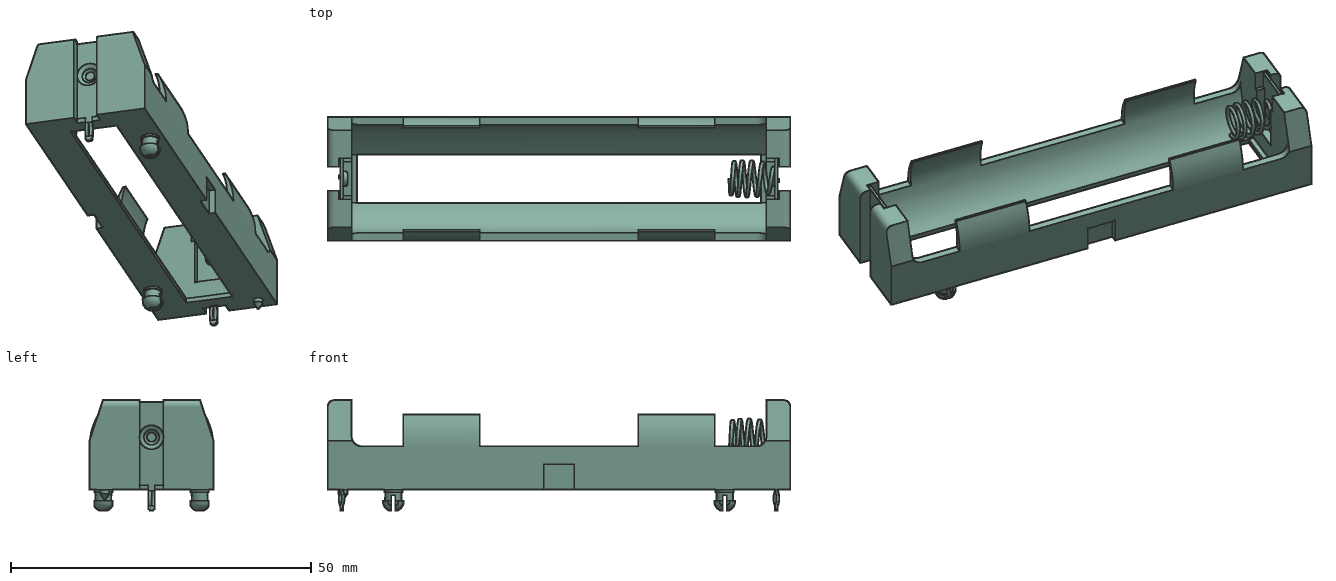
import cadquery as cq
import math

length = 77.05
width = 20.65
post_height = 14.95
rail_height = 7.25
half_length = length / 2
half_width = width / 2

post_thickness = 4.0
shoulder_height = 8.2
post_top_half_width = 8.1
post_edge_radius = 1.15
rail_fillet_radius = 1.7

trough_radius = 9.2
trough_axis_height = 9.0
floor_thickness = 0.8
opening_half_width = 4.0
opening_end_inset = 4.9

clip_length = 12.8
clip_end_inset = 12.55
clip_top = 12.55

notch_width = 5.0
notch_height = 4.2
notch_depth = 1.1

channel_width = 3.9
seat_back_inset = 1.85
seat_width = 6.8
window_width = 5.6
window_sill_height = 4.1
window_step_height = 11.7

peg_inset = 10.95
peg_offset = 8.0
peg_flange_diameter = 3.1
peg_flange_thickness = 0.4
peg_shaft_diameter = 2.8
peg_head_radius = 1.8
peg_head_flats = 3.1
peg_head_top = 1.85
peg_length = 3.5
peg_slit_width = 0.6
peg_slit_top = 0.9

key_diameter = 1.55
key_straight = 0.7
key_length = 1.8
key_inset = 2.55
key_offset = 7.8

sheet = 0.5
contact_back_inset = 2.1
contact_top = 14.65
contact_front_inset = contact_back_inset + sheet
terminal_width = 1.15
terminal_length = peg_length
terminal_tip_chamfer = 0.3
terminal_bow = 0.27
bow_start_depth = 0.15
bow_end_depth = 2.7
contact_axis_height = 8.745

dimple_mouth_radius = 2.0
dimple_throat_radius = 1.425
dimple_throat_depth = 0.2
dimple_tip_radius = 0.8
dimple_outer_radius = 1.27
dimple_depth = 0.8

wire_diameter = 0.6
spring_free_inset = 10.3
spring_turns = 4.75
spring_radius = 2.85
free_end_taper = 0.5
fixed_end_taper = 1.1
taper_power = 6
wire_embed = 0.19
pitch_power = 1.3
points_per_turn = 12


def block(x_range, y_range, z_range):
    """Axis-aligned box between the given limits."""
    (x0, x1), (y0, y1), (z0, z1) = x_range, y_range, z_range
    return cq.Workplane("XY").box(x1 - x0, y1 - y0, z1 - z0, centered=False).translate((x0, y0, z0))


def turned(workplane):
    """The same shape at the opposite end, half a turn about Z."""
    return workplane.rotate((0, 0, 0), (0, 0, 1), 180)


def holder_shell():
    """Rails and end posts, cut to the side outline and to the sloping end outline."""
    post_face = half_length - post_thickness
    fillet_end = post_face - rail_fillet_radius
    fillet_axis = rail_height + rail_fillet_radius
    bend = rail_fillet_radius * math.sqrt(0.5)
    side = (
        cq.Workplane("XZ", origin=(0, half_width, 0))
        .moveTo(-half_length, 0)
        .lineTo(half_length, 0)
        .lineTo(half_length, post_height)
        .lineTo(post_face, post_height)
        .lineTo(post_face, fillet_axis)
        .threePointArc((fillet_end + bend, fillet_axis - bend), (fillet_end, rail_height))
        .lineTo(-fillet_end, rail_height)
        .threePointArc((-fillet_end - bend, fillet_axis - bend), (-post_face, fillet_axis))
        .lineTo(-post_face, post_height)
        .lineTo(-half_length, post_height)
        .close()
        .extrude(width)
        .edges("|Y and >Z")
        .edges("<X or >X")
        .fillet(post_edge_radius)
    )
    end = (
        cq.Workplane("YZ", origin=(-half_length, 0, 0))
        .polyline([
            (-half_width, 0),
            (half_width, 0),
            (half_width, shoulder_height),
            (post_top_half_width, post_height),
            (-post_top_half_width, post_height),
            (-half_width, shoulder_height),
        ])
        .close()
        .extrude(length)
    )
    return side.intersect(end)


def clip_pair(x_start):
    """Curved outer form of two facing clips; the trough cut shapes their inner faces."""
    band = block(
        (x_start, x_start + clip_length), (-half_width, half_width), (rail_height, clip_top)
    )
    curve = (
        cq.Workplane("YZ", origin=(x_start, 0, rail_height)).circle(half_width).extrude(clip_length)
    )
    return band.intersect(curve)


def trough():
    """Cylindrical cell space between the posts, ending at the floor."""
    trough_length = length - 2 * post_thickness
    space = (
        cq.Workplane("YZ", origin=(-trough_length / 2, 0, trough_axis_height))
        .circle(trough_radius)
        .extrude(trough_length)
    )
    above_floor = block(
        (-half_length, half_length),
        (-half_width, half_width),
        (floor_thickness, trough_axis_height + trough_radius),
    )
    return space.intersect(above_floor)


def floor_opening():
    """Rectangular opening through the floor."""
    half_opening = half_length - opening_end_inset
    return block(
        (-half_opening, half_opening),
        (-opening_half_width, opening_half_width),
        (0, trough_axis_height),
    )


def side_notch():
    """Notch in the outer face of one rail."""
    return block(
        (-notch_width / 2, notch_width / 2),
        (-half_width, -half_width + notch_depth),
        (0, notch_height),
    )


def contact_seat():
    """Channel, sheet slot, stepped window and terminal notch in the -X post."""
    def cut(start_inset, end_inset, cut_width, bottom):
        return block(
            (-half_length + start_inset, -half_length + end_inset),
            (-cut_width / 2, cut_width / 2),
            (bottom, post_height),
        )

    channel = cut(0, contact_back_inset, channel_width, 0)
    sheet_slot = cut(seat_back_inset, contact_front_inset, seat_width, floor_thickness)
    window = cut(contact_front_inset, post_thickness, window_width, window_sill_height)
    window_top = cut(contact_front_inset, post_thickness, seat_width, window_step_height)
    terminal_notch = cut(contact_back_inset, contact_front_inset, terminal_width, 0)
    return channel.union(sheet_slot).union(window).union(window_top).union(terminal_notch)


def snap_peg(side):
    """Split snap peg near one of two opposite corners, its head flattened to the flange width."""
    shaft_radius = peg_shaft_diameter / 2
    tip_radius = math.sqrt(peg_head_radius**2 - (peg_length - peg_head_top) ** 2)
    bend = peg_head_radius * math.sqrt(0.5)
    peg = (
        cq.Workplane("XZ")
        .moveTo(0, 0)
        .lineTo(peg_flange_diameter / 2, 0)
        .lineTo(peg_flange_diameter / 2, -peg_flange_thickness)
        .lineTo(shaft_radius, -peg_flange_thickness)
        .lineTo(shaft_radius, -peg_head_top)
        .lineTo(peg_head_radius, -peg_head_top)
        .threePointArc((bend, -peg_head_top - bend), (tip_radius, -peg_length))
        .lineTo(0, -peg_length)
        .close()
        .revolve(360, (0, 0, 0), (0, 1, 0))
    )
    slit = block(
        (-peg_slit_width / 2, peg_slit_width / 2),
        (-peg_head_radius, peg_head_radius),
        (-peg_length, -peg_slit_top),
    )
    between_flats = block(
        (-peg_head_radius, peg_head_radius),
        (-peg_head_flats / 2, peg_head_flats / 2),
        (-peg_length, 0),
    )
    peg = peg.intersect(between_flats).cut(slit)
    return peg.translate((side * (half_length - peg_inset), side * peg_offset, 0))


def polarity_peg():
    """Pointed peg that marks the positive end."""
    return (
        cq.Workplane("XZ")
        .polyline([
            (0, 0),
            (key_diameter / 2, 0),
            (key_diameter / 2, -key_straight),
            (0, -key_length),
        ])
        .close()
        .revolve(360, (0, 0, 0), (0, 1, 0))
        .translate((-half_length + key_inset, key_offset, 0))
    )


def make_holder():
    body = holder_shell()
    for x_start in (-half_length + clip_end_inset, half_length - clip_end_inset - clip_length):
        body = body.union(clip_pair(x_start))
    body = body.cut(trough()).cut(floor_opening())
    body = body.cut(side_notch()).cut(turned(side_notch()))
    body = body.cut(contact_seat()).cut(turned(contact_seat()))
    for side in (-1, 1):
        body = body.union(snap_peg(side))
    return body.union(polarity_peg())


contact_back = -half_length + contact_back_inset
contact_front = contact_back + sheet


def terminal_half(side):
    """Half of the solder terminal, bowed outward in X away from the other half."""
    shift = -side * terminal_bow
    bow_middle = -(bow_start_depth + bow_end_depth) / 2
    strip = (
        cq.Workplane("XZ")
        .moveTo(contact_back, floor_thickness)
        .lineTo(contact_back, -bow_start_depth)
        .threePointArc((contact_back + shift, bow_middle), (contact_back, -bow_end_depth))
        .lineTo(contact_back, -terminal_length)
        .lineTo(contact_front, -terminal_length)
        .lineTo(contact_front, -bow_end_depth)
        .threePointArc((contact_front + shift, bow_middle), (contact_front, -bow_start_depth))
        .lineTo(contact_front, floor_thickness)
        .close()
        .extrude(-side * terminal_width / 2)
    )
    outer_edge = ">Y" if side > 0 else "<Y"
    return strip.faces("<Z").edges(outer_edge).chamfer(terminal_tip_chamfer)


def dimple_boss():
    """Raised front of the dimple, revolved about its X axis."""
    tip = sheet + dimple_depth
    tip_fillet = dimple_outer_radius - dimple_tip_radius
    bend = tip_fillet * math.sqrt(0.5)
    fillet_start = tip - tip_fillet
    return (
        cq.Workplane("XY")
        .moveTo(0, 0)
        .lineTo(0, dimple_outer_radius)
        .lineTo(fillet_start, dimple_outer_radius)
        .threePointArc((fillet_start + bend, dimple_tip_radius + bend), (tip, dimple_tip_radius))
        .lineTo(tip, 0)
        .close()
        .revolve(360, (0, 0, 0), (1, 0, 0))
        .translate((contact_back, 0, contact_axis_height))
    )


def dimple_hollow():
    """Hollow in the back of the dimple, revolved about its X axis."""
    return (
        cq.Workplane("XY")
        .polyline([
            (0, 0),
            (0, dimple_mouth_radius),
            (dimple_throat_depth, dimple_throat_radius),
            (dimple_depth, dimple_tip_radius),
            (dimple_depth, 0),
        ])
        .close()
        .revolve(360, (0, 0, 0), (1, 0, 0))
        .translate((contact_back, 0, contact_axis_height))
    )


def make_contact():
    """Contact sheet with its dimple and solder terminal."""
    contact = block(
        (contact_back, contact_front),
        (-seat_width / 2, seat_width / 2),
        (floor_thickness, contact_top),
    )
    contact = contact.union(dimple_boss()).cut(dimple_hollow())
    return contact.union(terminal_half(1)).union(terminal_half(-1))


def spring_point(fraction):
    """Point on the wire's centre line, from the free end (0) to the fixed end (1)."""
    free_x = half_length - spring_free_inset + wire_diameter / 2
    fixed_x = half_length - contact_front_inset - wire_diameter / 2 + wire_embed
    angle = -math.pi / 2 - 2 * math.pi * spring_turns * fraction
    radius = (
        spring_radius
        - free_end_taper * (1 - fraction) ** taper_power
        - fixed_end_taper * fraction**taper_power
    )
    return (
        free_x + (fixed_x - free_x) * fraction**pitch_power,
        radius * math.cos(angle),
        contact_axis_height + radius * math.sin(angle),
    )


def coil_spring():
    """Wire coil, narrower at both ends."""
    steps = round(spring_turns * points_per_turn)
    path = cq.Workplane("XY").spline([spring_point(i / steps) for i in range(steps + 1)])
    start = path.val().startPoint()
    direction = path.val().tangentAt(0)
    return cq.Workplane(cq.Plane(start, normal=direction)).circle(wire_diameter / 2).sweep(path)


def make_spring_contact():
    """Contact for the +X end with the coil spring joined to its front."""
    return turned(make_contact()).union(coil_spring())


holder = make_holder()
positive_contact = make_contact()
negative_contact = make_spring_contact()

result = cq.Compound.makeCompound([
    holder.solids().val(),
    positive_contact.solids().val(),
    negative_contact.solids().val(),
])